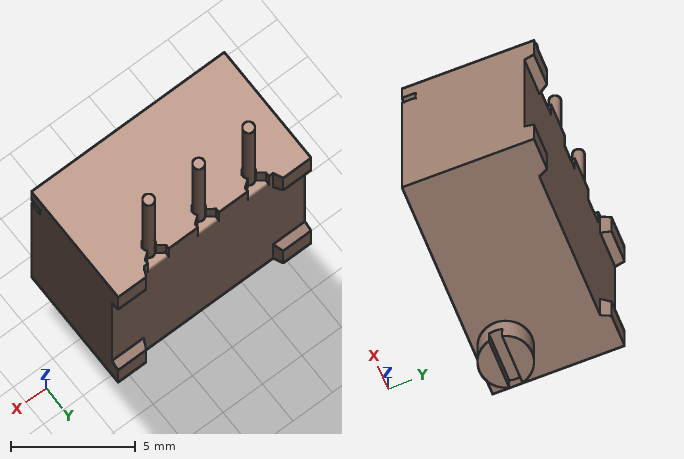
import cadquery as cq
import math

total_height = 16.46
body_width = 9.78
body_depth = 5.71
pin_length = 5.12
shaft_length = 1.51
body_height = total_height - pin_length - shaft_length

foot_size = 1.42
foot_slope = 0.2
recess_depth = 0.41

groove_top_offset = 0.92
groove_height = 0.48
groove_depth = 0.6

pin_diameter = 0.51
pin_pitch = 2.53
pin_inset = 1.05
notch_width = 1.05
notch_side_end = 0.61
notch_round_radius = 0.3
notch_depth = 0.9
notch_lip_radius = 0.1

shaft_diameter = 2.27
shaft_side_offset = 1.75
shaft_front_offset = 1.27
slot_width = 0.58
slot_depth = 0.7

left = -body_width / 2
front = -body_depth / 2
back = body_depth / 2
recess_floor = back - recess_depth
pin_y = back - pin_inset
notch_floor = body_height - notch_depth


def recess_outline(plane, start, end):
    """Trapezoid cut into the back face between two rows of feet."""
    return cq.Workplane(plane).polyline([
        (start + foot_size, back),
        (start + foot_size + foot_slope, recess_floor),
        (end - foot_size - foot_slope, recess_floor),
        (end - foot_size, back),
    ]).close()


def make_body():
    """Block with a cross-shaped back recess and a front groove."""
    body = cq.Workplane("XY").box(body_width, body_depth, body_height, centered=(True, True, False))
    upright_recess = recess_outline("XY", left, -left).extrude(body_height)
    cross_recess = recess_outline("ZY", 0, body_height).extrude(body_width / 2, both=True)
    groove = (
        cq.Workplane("XY")
        .box(body_width, groove_depth, groove_height, centered=(True, False, False))
        .translate((0, front, body_height - groove_top_offset - groove_height))
    )
    return body.cut(upright_recess).cut(cross_recess).cut(groove)


def make_notch(x):
    """Tapered notch with a round end and a floor that rounds off at the back."""
    half_width = notch_width / 2
    side_end_y = back - notch_side_end
    round_offset = notch_round_radius * math.sqrt(0.5)
    round_end_y = pin_y + round_offset
    outline = (
        cq.Workplane("XY").workplane(offset=notch_floor)
        .moveTo(x - half_width, back)
        .lineTo(x - half_width, side_end_y)
        .lineTo(x - round_offset, round_end_y)
        .threePointArc((x, pin_y - notch_round_radius), (x + round_offset, round_end_y))
        .lineTo(x + half_width, side_end_y)
        .lineTo(x + half_width, back)
        .close()
    )
    lip_start_y = recess_floor - notch_lip_radius
    lip_bottom = notch_floor - notch_lip_radius
    arc_offset = notch_lip_radius * math.sqrt(0.5)
    lip = (
        cq.Workplane("YZ").workplane(offset=x - half_width)
        .moveTo(lip_start_y, notch_floor)
        .threePointArc((lip_start_y + arc_offset, lip_bottom + arc_offset), (recess_floor, lip_bottom))
        .lineTo(recess_floor, notch_floor)
        .close()
        .extrude(notch_width)
    )
    return outline.extrude(notch_depth).union(lip)


def make_pin(x):
    """Round pin rising from the floor of its notch."""
    return (
        cq.Workplane("XY").workplane(offset=notch_floor)
        .center(x, pin_y)
        .circle(pin_diameter / 2)
        .extrude(notch_depth + pin_length)
    )


def make_shaft():
    """Round shaft below the body with a screwdriver slot along X."""
    shaft_x = left + shaft_side_offset
    shaft_y = front + shaft_front_offset
    shaft = cq.Workplane("XY").center(shaft_x, shaft_y).circle(shaft_diameter / 2).extrude(-shaft_length)
    slot = (
        cq.Workplane("XY")
        .box(shaft_diameter, slot_width, slot_depth, centered=(True, True, False))
        .translate((shaft_x, shaft_y, -shaft_length))
    )
    return shaft.cut(slot)


result = make_body().union(make_shaft())
for pin_x in (-pin_pitch, 0, pin_pitch):
    result = result.cut(make_notch(pin_x))
    result = result.union(make_pin(pin_x))